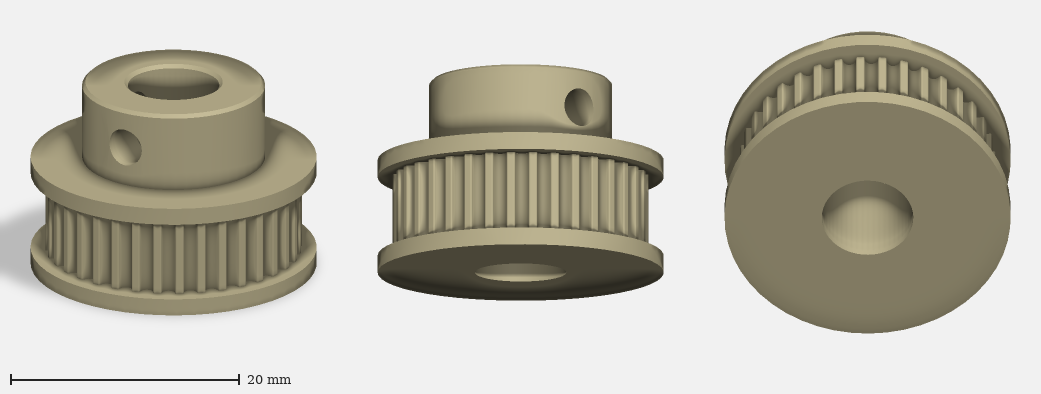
import cadquery as cq
import math

flange_diameter = 25.0
flange_thickness = 1.5
belt_track_width = 7.0
hub_diameter = 16.0
hub_height = 7.0
bore_diameter = 8.0
edge_chamfer = 0.3

screw_hole_diameter = 3.33
screw_hole_directions = [(-1, 0, 0), (0, -1, 0)]

tooth_count = 36
tooth_pitch = 2.0
pitch_line_offset = 0.254
groove_depth = 0.75
groove_bottom_radius = 0.555
groove_flank_radius = 1.0
groove_flank_offset = 0.4
tip_radius = 0.15
cutter_overrun = 0.5

track_radius = tooth_count * tooth_pitch / (2 * math.pi) - pitch_line_offset
track_base = flange_thickness
upper_flange_base = track_base + belt_track_width
hub_base = upper_flange_base + flange_thickness
total_height = hub_base + hub_height
screw_hole_height = hub_base + hub_height / 2


def disc(diameter, base, height):
    """Solid cylinder on the Z axis standing on the given base height."""
    return cq.Workplane("XY").workplane(offset=base).circle(diameter / 2).extrude(height)


def make_groove_cutter():
    """One belt groove, centred on the +X axis and open outwards.

    The flank arcs are centred level with the groove mouth, each one offset past the
    groove centreline, and blend smoothly into the bottom arc and the rounded tooth tips.
    """
    flank_to_tip = groove_flank_radius + tip_radius
    mouth_half_width = math.sqrt(flank_to_tip**2 - tip_radius**2) - groove_flank_offset
    tip_share = groove_flank_radius / flank_to_tip
    tip_end_half_width = (mouth_half_width + groove_flank_offset) * tip_share - groove_flank_offset

    mouth = math.sqrt(track_radius**2 - mouth_half_width**2)
    floor = mouth - groove_depth
    tip_end = mouth - tip_radius * tip_share
    outside = mouth + cutter_overrun

    flank_to_bottom = groove_flank_radius - groove_bottom_radius
    half_angle = math.asin(groove_flank_offset / flank_to_bottom)
    bottom_half_width = groove_bottom_radius * math.sin(half_angle)
    bottom_end = floor + groove_bottom_radius * (1 - math.cos(half_angle))
    return (
        cq.Workplane("XY")
        .workplane(offset=track_base)
        .moveTo(outside, -mouth_half_width)
        .lineTo(mouth, -mouth_half_width)
        .radiusArc((tip_end, -tip_end_half_width), -tip_radius)
        .radiusArc((bottom_end, -bottom_half_width), groove_flank_radius)
        .threePointArc((floor, 0), (bottom_end, bottom_half_width))
        .radiusArc((tip_end, tip_end_half_width), groove_flank_radius)
        .radiusArc((mouth, mouth_half_width), -tip_radius)
        .lineTo(outside, mouth_half_width)
        .close()
        .extrude(belt_track_width)
    )


def make_toothed_track():
    """Belt track with a groove repeated at every tooth pitch."""
    track = disc(2 * track_radius, track_base, belt_track_width)
    groove = make_groove_cutter()
    step = 360 / tooth_count
    for index in range(tooth_count):
        track = track.cut(groove.rotate((0, 0, 0), (0, 0, 1), index * step))
    return track


def make_hub():
    """Hub with a chamfered top rim."""
    return disc(hub_diameter, hub_base, hub_height).faces(">Z").edges().chamfer(edge_chamfer)


def make_bore():
    """Through bore with a chamfered mouth at the hub end."""
    bore_radius = bore_diameter / 2
    chamfer_start = total_height - edge_chamfer
    return (
        cq.Workplane("XZ")
        .moveTo(0, 0)
        .lineTo(bore_radius, 0)
        .lineTo(bore_radius, chamfer_start)
        .lineTo(bore_radius + edge_chamfer, total_height)
        .lineTo(0, total_height)
        .close()
        .revolve(360, (0, 0, 0), (0, 1, 0))
    )


def make_screw_hole(direction):
    """Radial hole from the bore out through the hub wall."""
    axis_start = cq.Vector(0, 0, screw_hole_height)
    hole = cq.Solid.makeCylinder(
        screw_hole_diameter / 2, hub_diameter / 2, axis_start, cq.Vector(*direction)
    )
    return cq.Workplane(obj=hole)


lower_flange = disc(flange_diameter, 0, flange_thickness)
upper_flange = disc(flange_diameter, upper_flange_base, flange_thickness)
pulley = lower_flange.union(make_toothed_track()).union(upper_flange).union(make_hub())
pulley = pulley.cut(make_bore())
for screw_direction in screw_hole_directions:
    pulley = pulley.cut(make_screw_hole(screw_direction))

result = pulley